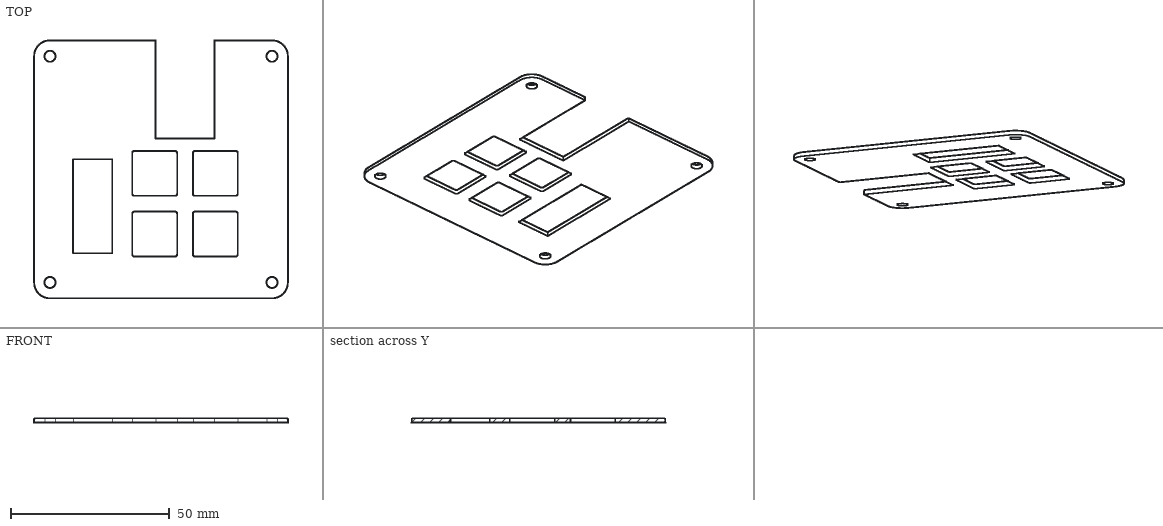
import cadquery as cq

plate_width = 80.0
plate_length = 81.3
plate_thickness = 1.5
corner_radius = 5.0
top_edge_radius = 0.5

screw_hole_diameter = 3.4

notch_width = 18.5
notch_center_x = 7.6
notch_floor_y = 9.75

window_width = 12.3
window_length = 29.5
window_center = (-21.55, -11.6)

key_size = 14.1
key_pitch = 19.1
key_corner_radius = 0.6
key_grid_center = (7.6, -10.8)


def make_plate():
    """Plate with rounded corners and a rounded top outer edge."""
    plate = cq.Workplane("XY").box(plate_width, plate_length, plate_thickness, centered=(True, True, False))
    plate = plate.edges("|Z").fillet(corner_radius)
    return plate.faces(">Z").edges().fillet(top_edge_radius)


def make_rectangular_cutter(width, length, center):
    """Block through the full plate thickness."""
    block = cq.Workplane("XY").center(*center).rect(width, length)
    return block.extrude(plate_thickness)


def make_screw_holes():
    spacing_x = plate_width - 2 * corner_radius
    spacing_y = plate_length - 2 * corner_radius
    centers = cq.Workplane("XY").rect(spacing_x, spacing_y, forConstruction=True).vertices()
    return centers.circle(screw_hole_diameter / 2).extrude(plate_thickness)


def make_notch():
    notch_length = plate_length / 2 - notch_floor_y
    notch_center = (notch_center_x, notch_floor_y + notch_length / 2)
    return make_rectangular_cutter(notch_width, notch_length, notch_center)


def make_key_openings():
    """Four square openings with slightly rounded corners."""
    grid = cq.Workplane("XY").center(*key_grid_center).rarray(key_pitch, key_pitch, 2, 2)
    openings = grid.rect(key_size, key_size).extrude(plate_thickness)
    return openings.edges("|Z").fillet(key_corner_radius)


result = (
    make_plate()
    .cut(make_screw_holes())
    .cut(make_notch())
    .cut(make_rectangular_cutter(window_width, window_length, window_center))
    .cut(make_key_openings())
)